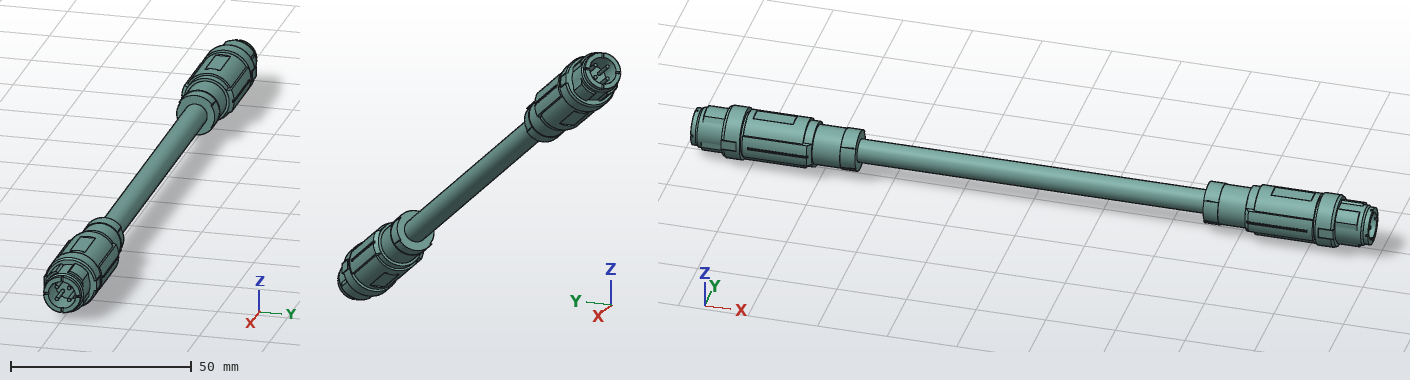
import cadquery as cq
import math

length = 194.6
cable_radius = 3.3

tip_end = 1.4
nose_start = 2.0
pad_start = 3.1
nose_end = 9.3
collar_start = 10.1
collar_end = 14.5
body_start = 15.4
body_end = 32.5
shoulder_end = 35.0
grip_start = 43.0
plug_end = 47.3

tip_radius = 5.3
nose_radius = 5.6
pad_radius = 6.2
collar_radius = 7.4
neck_radius = 6.2
body_radius = 7.0
shoulder_radius = 6.5
sleeve_radius = 5.6
grip_radius = 5.8

pad_angles = [
    (20, 30, 117, 132),
    (195, 210, 245, 250),
    (278, 283, 325, 340),
]

wing_radius = 7.5
wing_half_height = 3.3
wing_end = 33.9
wing_groove_width = 0.5
wing_groove_depth = 0.4
wing_groove_start = 17.0

marker_length = 4.3
marker_height = 3.0

label_start = 17.1
label_length = 11.5
label_width = 4.3
label_height = 6.6

hollow_radius = 5.5

chamber_radius = 3.9
chamber_depth = 7.8
pin_radius = 0.49
pin_offset = 1.8
pin_recess = 1.2

rim_slot_width = 0.5
rim_slot_depth = 0.5


def rod(start, end, radius):
    """Cylinder on the plug axis between two stations."""
    return cq.Workplane("YZ").workplane(offset=start).circle(radius).extrude(end - start)


def block(start, end, y_center, y_size, z_center, z_size):
    """Box between two stations, centred at the given Y and Z."""
    return cq.Workplane("XY").box(end - start, y_size, z_size).translate(
        ((start + end) / 2, y_center, z_center)
    )


def polar(radius, angle):
    """Point in the YZ plane at an angle measured from +Y towards +Z."""
    return (radius * math.cos(math.radians(angle)), radius * math.sin(math.radians(angle)))


def revolve_outline(outline):
    """Solid of revolution about the plug axis from (station, radius) points."""
    return cq.Workplane("XY").polyline(outline).close().revolve(360, (0, 0, 0), (1, 0, 0))


def turned_shell():
    """Stepped round outline of the plug."""
    outline = [
        (0, 0),
        (0, tip_radius),
        (tip_end, tip_radius),
        (nose_start, nose_radius),
        (nose_end, nose_radius),
        (nose_end, body_radius),
        (collar_start, collar_radius),
        (collar_end, collar_radius),
        (collar_end, neck_radius),
        (body_start, neck_radius),
        (body_start, body_radius),
        (body_end, body_radius),
        (body_end, shoulder_radius),
        (shoulder_end, shoulder_radius),
        (shoulder_end, sleeve_radius),
        (grip_start, sleeve_radius),
        (grip_start, grip_radius),
        (plug_end, grip_radius),
        (plug_end, 0),
    ]
    return revolve_outline(outline)


def locking_pad(first, full_first, full_last, last):
    """Raised pad on the nose with a sloping flat at each side."""
    return (
        cq.Workplane("YZ")
        .workplane(offset=pad_start)
        .moveTo(0, 0)
        .lineTo(*polar(nose_radius, first))
        .lineTo(*polar(pad_radius, full_first))
        .threePointArc(polar(pad_radius, (full_first + full_last) / 2), polar(pad_radius, full_last))
        .lineTo(*polar(nose_radius, last))
        .close()
        .extrude(nose_end - pad_start)
    )


def wings():
    """Raised grip bands on both sides, tapering down to the shoulder."""
    outline = [
        (body_start, 0),
        (body_start, wing_radius),
        (wing_end, wing_radius),
        (shoulder_end, shoulder_radius),
        (shoulder_end, 0),
    ]
    band = block(body_start, shoulder_end, 0, 2 * wing_radius, 0, 2 * wing_half_height)
    return revolve_outline(outline).intersect(band)


def grip_hollows():
    """Tapered side bands to remove from the cable grip."""
    outline = [
        (grip_start, grip_radius),
        (plug_end, grip_radius),
        (plug_end, hollow_radius),
    ]
    band = block(grip_start, plug_end, 0, 2 * grip_radius, 0, 2 * wing_half_height)
    return revolve_outline(outline).intersect(band)


def cut_wing_grooves(solid):
    """Shallow groove along the middle of each wing."""
    y_center = wing_radius - wing_groove_depth / 2
    for side in (-1, 1):
        solid = solid.cut(
            block(
                wing_groove_start, shoulder_end, side * y_center, wing_groove_depth, 0, wing_groove_width
            )
        )
    return solid


def cut_labels(solid):
    """Flat label panels on the top and bottom of the body."""
    depth = body_radius - label_height
    label_end = label_start + label_length
    for side in (-1, 1):
        z_center = side * (label_height + depth / 2)
        solid = solid.cut(block(label_start, label_end, 0, label_width, z_center, depth))
    return solid


def add_contacts(solid):
    """Open the contact chamber and stand four pins on its floor."""
    solid = solid.cut(rod(0, chamber_depth, chamber_radius))
    rim_slots = block(0, rim_slot_depth, 0, 2 * tip_radius, 0, rim_slot_width).union(
        block(0, rim_slot_depth, 0, rim_slot_width, 0, 2 * tip_radius)
    )
    solid = solid.cut(rim_slots)
    for y in (-pin_offset, pin_offset):
        for z in (-pin_offset, pin_offset):
            solid = solid.union(rod(pin_recess, nose_end, pin_radius).translate((0, y, z)))
    return solid


def make_plug():
    """Complete plug with its tip at the origin, reaching towards +X."""
    plug = turned_shell()
    for angles in pad_angles:
        plug = plug.union(locking_pad(*angles))
    plug = plug.union(wings())
    plug = plug.union(block(nose_end, nose_end + marker_length, 0, 2 * wing_radius, 0, marker_height))
    plug = cut_wing_grooves(plug)
    plug = plug.cut(grip_hollows())
    plug = cut_labels(plug)
    return add_contacts(plug)


left_plug = make_plug().translate((-length / 2, 0, 0))
right_plug = left_plug.rotate((0, 0, 0), (0, 1, 0), 180)
cable_half_length = length / 2 - grip_start
cable = rod(-cable_half_length, cable_half_length, cable_radius)

result = cable.union(left_plug).union(right_plug)